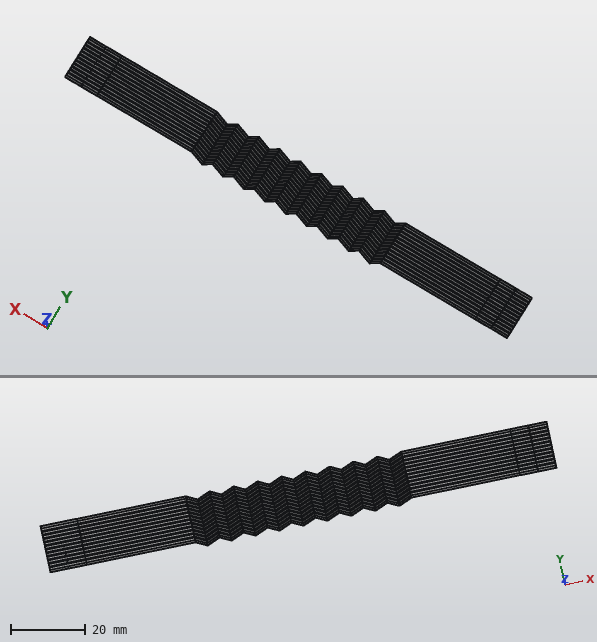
import cadquery as cq
import math

length = 139.5
width = 13.0
height = 7.8

film_thickness = 0.033
conductor_thickness = 0.033
cable_thickness = 2 * film_thickness + conductor_thickness

conductor_count = 12
conductor_width = 0.7
conductor_pitch = width / (conductor_count + 1)

contact_length = 5.0

stiffener_length = 10.0
stiffener_thickness = 0.24

arm_relief = 0.003

arm_length = 40.0
pleat_count = 9
pleat_pitch = (length - 2 * arm_length) / pleat_count

left_end = -length / 2
right_end = length / 2
first_fold = left_end + arm_length
last_fold = right_end - arm_length

wall_run = pleat_pitch / 2
pleat_height = height - stiffener_thickness
leading = 1 - (cable_thickness / wall_run) ** 2
constant = pleat_height**2 - cable_thickness**2
wall_rise = (pleat_height - math.sqrt(pleat_height**2 - leading * constant)) / leading
wall_slope = wall_rise / wall_run
wall_stretch = math.hypot(1, wall_slope)


def pleated_line(depth):
    """Points, from -X to +X, of the line lying `depth` below the top of the cable."""
    wall_depth = depth * wall_stretch
    corner_shift = (wall_depth - depth) / wall_slope
    points = [(left_end, -depth), (first_fold - corner_shift, -depth)]
    for pleat in range(pleat_count):
        crest_x = first_fold + pleat * pleat_pitch
        if pleat > 0:
            points.append((crest_x, -wall_depth))
        points.append((crest_x + wall_run, -wall_rise - wall_depth))
    return points + [(last_fold + corner_shift, -depth), (right_end, -depth)]


def pleated_layer(top_depth, bottom_depth, layer_width):
    """Layer between two depths below the top of the cable, centred on Y = 0."""
    outline = pleated_line(top_depth) + pleated_line(bottom_depth)[::-1]
    return cq.Workplane("XZ").polyline(outline).close().extrude(layer_width / 2, both=True)


def flat_block(start_x, block_length, bottom_z, thickness):
    """Block across the full width of the cable."""
    block = cq.Workplane("XY").box(block_length, width, thickness, centered=(False, True, False))
    return block.translate((start_x, 0, bottom_z))


conductor_bottom = film_thickness + conductor_thickness
top_film = pleated_layer(0, film_thickness, width)
contact_start = right_end - contact_length
top_film = top_film.cut(flat_block(contact_start, contact_length, -film_thickness, film_thickness))
relief_length = arm_length - stiffener_length
top_film = top_film.cut(flat_block(left_end + stiffener_length, relief_length, -arm_relief, arm_relief))

bottom_film = pleated_layer(conductor_bottom, cable_thickness, width)
bottom_film = bottom_film.cut(flat_block(left_end, contact_length, -cable_thickness, film_thickness))

top_stiffener = flat_block(left_end, stiffener_length, 0, stiffener_thickness)
bottom_stiffener = flat_block(
    right_end - stiffener_length,
    stiffener_length,
    -cable_thickness - stiffener_thickness,
    stiffener_thickness,
)

result = top_film.union(top_stiffener)
conductor = pleated_layer(film_thickness, conductor_bottom, conductor_width)
for number in range(conductor_count):
    offset_y = (number - (conductor_count - 1) / 2) * conductor_pitch
    result = result.union(conductor.translate((0, offset_y, 0)))
result = result.union(bottom_film).union(bottom_stiffener)